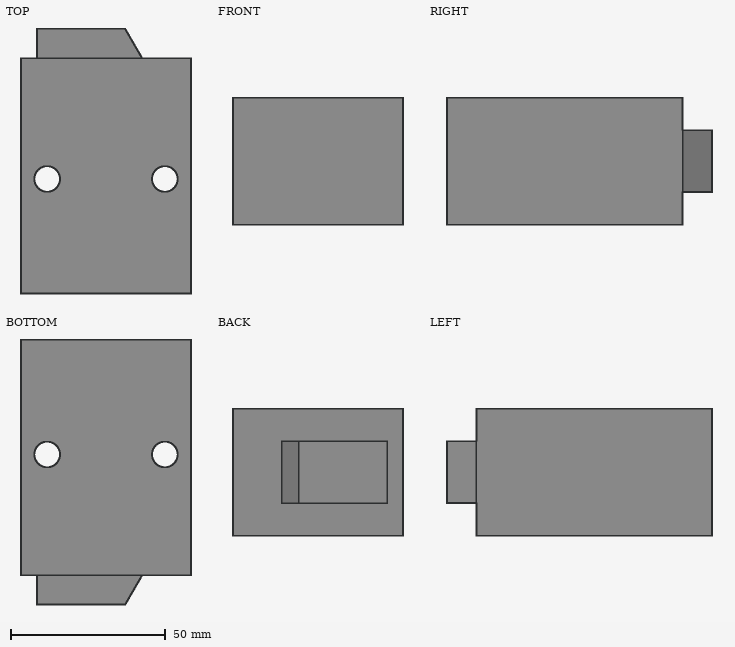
import cadquery as cq
import math

total_length = 85.5
body_width = 55.0
body_height = 41.0

tongue_length = 9.5
tongue_width = 33.95
tongue_height = 20.0
tongue_side_inset = 5.2
slant_angle = 30.0

hole_diameter = 8.2
hole_spacing = 38.0
hole_to_back_face = 39.0

body_length = total_length - tongue_length


def make_body():
    return cq.Workplane("XY").box(
        body_width, body_length, body_height, centered=(True, False, True)
    )


def make_tongue():
    left = -body_width / 2 + tongue_side_inset
    right = left + tongue_width
    slant_run = tongue_length * math.tan(math.radians(slant_angle))
    outline = [
        (left, body_length),
        (right, body_length),
        (right - slant_run, total_length),
        (left, total_length),
    ]
    return (
        cq.Workplane("XY")
        .polyline(outline)
        .close()
        .extrude(tongue_height / 2, both=True)
    )


def make_holes():
    hole_y = body_length - hole_to_back_face
    return (
        cq.Workplane("XY")
        .pushPoints([(side * hole_spacing / 2, hole_y) for side in (-1, 1)])
        .circle(hole_diameter / 2)
        .extrude(body_height / 2, both=True)
    )


result = make_body().union(make_tongue()).cut(make_holes())